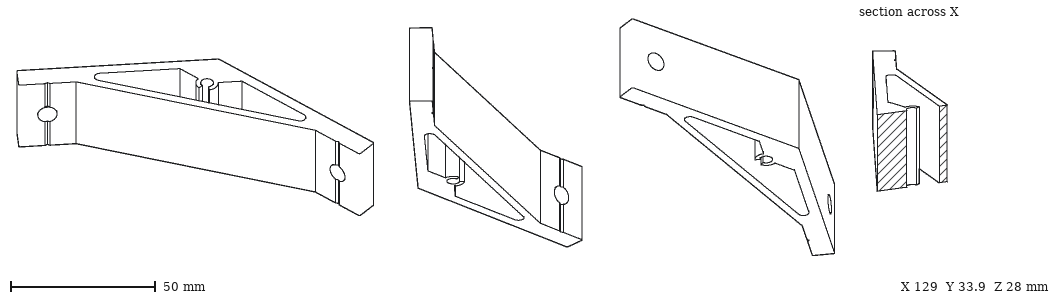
import cadquery as cq
import math

length = 129.0
height = 28.0
arm_thickness = 7.9
arm_angle = math.radians(22.5)
end_radius = 0.5

tie_bottom_depth = 26.5
tie_thickness = 3.1
wall_thickness = 4.0
window_peak_x = 11.2
window_end_radius = 2.0

ring_depth = 13.4
ring_outer_radius = 3.9
ring_inner_radius = 2.2
ring_opening_half_angle = math.radians(30)

hole_diameter = 6.7
hole_from_end = 10.0
groove_width = 1.7
groove_depth = 0.5

sine = math.sin(arm_angle)
cosine = math.cos(arm_angle)
slope = math.tan(arm_angle)

tip_loss = end_radius * (sine + cosine - 1)
arm_length = (length / 2 + tip_loss) / cosine


def arm_point(along, into):
    """Point on the +X arm: distance from the apex, and depth below its outer face."""
    return (along * cosine - into * sine, -along * sine - into * cosine)


def mirrored(points):
    """Close a half outline, given from the centre outwards and back, about X = 0."""
    return points + [(-x, y) for x, y in reversed(points) if x != 0]


def prism(points):
    return cq.Workplane("XY").polyline(points).close().extrude(height)


def make_body():
    tie_end_x = (tie_bottom_depth - arm_thickness / cosine) / slope
    tip = arm_point(arm_length, 0)
    heel = arm_point(arm_length, arm_thickness)
    body = prism(mirrored([(0, 0), tip, heel, (tie_end_x, -tie_bottom_depth)]))
    for x, y in (tip, heel):
        for side in (1, -1):
            corner = cq.NearestToPointSelector((side * x, y, height / 2))
            body = body.edges("|Z").edges(corner).fillet(end_radius)
    return body


def make_window():
    floor_depth = tie_bottom_depth - tie_thickness
    wall_drop = wall_thickness / cosine
    peak_depth = window_peak_x * slope + wall_drop
    centre_depth = peak_depth + window_peak_x * slope
    corner_x = (floor_depth - wall_drop) / slope
    window = prism(mirrored([
        (0, -centre_depth),
        (window_peak_x, -peak_depth),
        (corner_x, -floor_depth),
    ]))
    return window.edges("|Z and (<X or >X)").fillet(window_end_radius)


def make_ring():
    return cq.Workplane("XY").center(0, -ring_depth).circle(ring_outer_radius).extrude(height)


def make_ring_opening():
    bore = cq.Workplane("XY").center(0, -ring_depth).circle(ring_inner_radius).extrude(height)
    reach = 1.2 * ring_outer_radius
    half_width = reach * math.tan(ring_opening_half_angle)
    wedge = prism([
        (0, -ring_depth),
        (half_width, -ring_depth - reach),
        (-half_width, -ring_depth - reach),
    ])
    return bore.union(wedge)


def make_arm_cuts():
    """Hole and V groove of the +X arm."""
    along = arm_length - hole_from_end
    start_x, start_y = arm_point(along, -arm_thickness)
    hole = cq.Workplane(cq.Solid.makeCylinder(
        hole_diameter / 2,
        3 * arm_thickness,
        cq.Vector(start_x, start_y, height / 2),
        cq.Vector(-sine, -cosine, 0),
    ))
    groove = prism([
        arm_point(along, arm_thickness - groove_depth),
        arm_point(along + groove_width, arm_thickness + groove_depth),
        arm_point(along - groove_width, arm_thickness + groove_depth),
    ])
    return hole.union(groove)


arm_cuts = make_arm_cuts()
result = (
    make_body()
    .cut(make_window())
    .union(make_ring())
    .cut(make_ring_opening())
    .cut(arm_cuts)
    .cut(arm_cuts.mirror("YZ"))
)